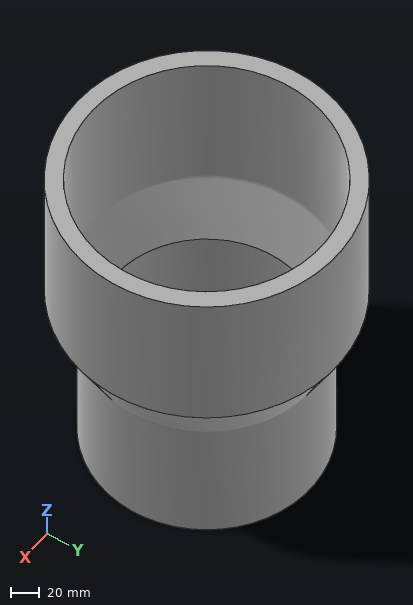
import cadquery as cq

total_height = 280.0

socket_outer_diameter = 225.0
socket_wall = 13.5

spigot_outer_diameter = 180.0
spigot_wall = 10.5

cone_bottom = 110.0
cone_top = 155.0

outer_blend_radius = 2.8
bore_blend_radius = 5.0

edge_margin = 1.5

socket_outer_radius = socket_outer_diameter / 2
socket_bore_radius = socket_outer_radius - socket_wall
spigot_outer_radius = spigot_outer_diameter / 2
spigot_bore_radius = spigot_outer_radius - spigot_wall


def stepped_solid(lower_radius, upper_radius):
    """Cylinder, cone and wider cylinder stacked on the Z axis."""
    half_profile = (
        cq.Workplane("XZ")
        .lineTo(lower_radius, 0)
        .lineTo(lower_radius, cone_bottom)
        .lineTo(upper_radius, cone_top)
        .lineTo(upper_radius, total_height)
        .lineTo(0, total_height)
        .close()
    )
    return half_profile.revolve(360, (0, 0, 0), (0, 1, 0))


def round_edge(solid, edge_radius, edge_height, blend_radius):
    """Fillet the circular edge of the given radius at the given height."""
    reach = edge_radius + edge_margin
    selection = cq.selectors.BoxSelector(
        (-reach, -reach, edge_height - edge_margin),
        (reach, reach, edge_height + edge_margin),
        boundingbox=True,
    )
    return solid.edges("%CIRCLE").edges(selection).fillet(blend_radius)


body = stepped_solid(spigot_outer_radius, socket_outer_radius)
body = round_edge(body, spigot_outer_radius, cone_bottom, outer_blend_radius)
bore = stepped_solid(spigot_bore_radius, socket_bore_radius)
bore = round_edge(bore, socket_bore_radius, cone_top, bore_blend_radius)
result = body.cut(bore)